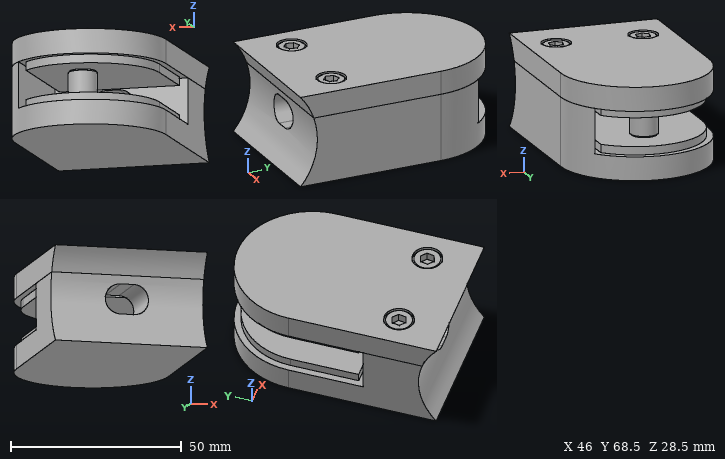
import cadquery as cq
import math

width = 46.0
length = 68.5
height = 28.5
end_radius = width / 2
front_y = end_radius - length

jaw_thickness = 7.3
top_z = height / 2
slot_top_z = top_z - jaw_thickness
slot_bottom_z = -slot_top_z
slot_back_y = -end_radius
side_wall_thickness = 5.4
side_wall_x = end_radius - side_wall_thickness

post_radius = 21.25
post_axis_y = front_y - math.sqrt(post_radius**2 - top_z**2)

oblong_width = 13.0
oblong_height = 9.0

pad_thickness = 2.55
pad_margin = 2.05
pad_radius = end_radius - pad_margin
pad_front_y = slot_back_y + pad_margin
pad_side_x = side_wall_x - pad_margin

pin_diameter = 8.55
pin_y = 8.0
pin_chamfer = 0.5
pin_length = 2 * (slot_top_z - pad_thickness)

screw_diameter = 9.0
screw_recess = 0.3
screw_hole_depth = 10.95
screw_length = screw_hole_depth - screw_recess
screw_chamfer = 0.55
screw_spacing = 27.0
screw_y = front_y + 14.5
hex_across_flats = 4.05
hex_depth = 2.5
hex_turn = 20.0
screw_points = [(side * screw_spacing / 2, screw_y) for side in (-1, 1)]


def box(x0, x1, y0, y1, z0, z1):
    """Box between two opposite corners."""
    return cq.Workplane("XY").box(x1 - x0, y1 - y0, z1 - z0, centered=False).translate((x0, y0, z0))


def d_shape(radius, right_x, low_y, low_z, high_z):
    """D-shaped plate with a round +Y end, trimmed at right_x on the +X side."""
    plate = (
        cq.Workplane("XY")
        .workplane(offset=low_z)
        .moveTo(-radius, low_y)
        .lineTo(radius, low_y)
        .lineTo(radius, 0)
        .threePointArc((0, radius), (-radius, 0))
        .close()
        .extrude(high_z - low_z)
    )
    return plate.intersect(box(-radius, right_x, low_y, radius, low_z, high_z))


def jaw_blank(low_z, high_z):
    """Full-width D-shaped block with the post seat cut across its front."""
    post = (
        cq.Workplane("YZ")
        .center(post_axis_y, 0)
        .circle(post_radius)
        .extrude(width / 2, both=True)
    )
    return d_shape(end_radius, end_radius, front_y, low_z, high_z).cut(post)


def screw_holes():
    """Cylinders that the screws sit in, from the top face down."""
    return (
        cq.Workplane("XY")
        .workplane(offset=top_z)
        .pushPoints(screw_points)
        .circle(screw_diameter / 2)
        .extrude(-screw_hole_depth)
    )


def make_base():
    """Lower jaw with the front block and the +X side wall that carry the cover."""
    slot = box(-end_radius, side_wall_x, slot_back_y, end_radius, slot_bottom_z, slot_top_z)
    oblong = (
        cq.Workplane("XZ", origin=(0, slot_back_y, 0))
        .slot2D(oblong_width, oblong_height)
        .extrude(slot_back_y - front_y)
    )
    return jaw_blank(-top_z, slot_top_z).cut(slot).cut(oblong).cut(screw_holes())


def make_cover():
    """Upper jaw plate with the two screw holes."""
    return jaw_blank(slot_top_z, top_z).cut(screw_holes())


def make_pad(low_z):
    """Pad held back by the same margin from the outline, front block and side wall."""
    return d_shape(pad_radius, pad_side_x, pad_front_y, low_z, low_z + pad_thickness)


def make_pin():
    """Pin chamfered at both ends."""
    return (
        cq.Workplane("XY")
        .workplane(offset=-pin_length / 2)
        .center(0, pin_y)
        .circle(pin_diameter / 2)
        .extrude(pin_length)
        .faces("|Z")
        .chamfer(pin_chamfer)
    )


def make_screw(x, y):
    """Headless screw with a chamfered top and a hexagon socket, its head slightly below the top face."""
    hex_diameter = hex_across_flats / math.cos(math.pi / 6)
    body = (
        cq.Workplane("XY")
        .circle(screw_diameter / 2)
        .extrude(-screw_length)
        .faces(">Z")
        .chamfer(screw_chamfer)
    )
    socket = (
        cq.Workplane("XY")
        .polygon(6, hex_diameter)
        .extrude(-hex_depth)
        .rotate((0, 0, 0), (0, 0, 1), hex_turn)
    )
    return body.cut(socket).translate((x, y, top_z - screw_recess))


base = make_base()
cover = make_cover()
pads = [make_pad(low_z) for low_z in (slot_bottom_z, slot_top_z - pad_thickness)]
pin = make_pin()
screws = [make_screw(x, y) for x, y in screw_points]

bodies = [base, cover, *pads, pin, *screws]
result = cq.Compound.makeCompound([body.val() for body in bodies])